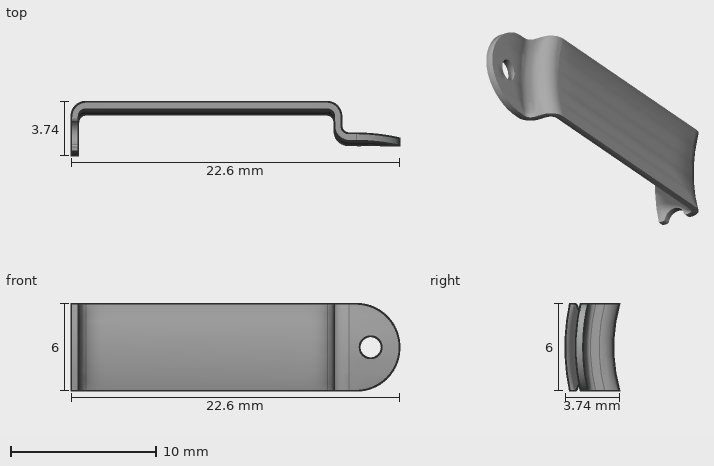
import cadquery as cq
import math

length = 22.6
width = 6.0
thickness = 0.5
dish_radius = 11.0
half_width = width / 2

inner_bend = 0.5
outer_bend = inner_bend + thickness

leg_depth = 3.325
step_depth = 2.1
step_wall_x = 18.6

hole_diameter = 1.5
hole_to_tip = 2.0

notch_radius = 0.8
notch_depth = 0.75
notch_mouth_radius = 0.2
notch_y = -1.72

dish_axis_start = (0, dish_radius, 0)
dish_axis_end = (1, dish_radius, 0)
clearance = 1.0


def folded_profile():
    """Side profile at mid-width: leg, main strip, step wall and tab."""
    main_back = -thickness
    tab_front = -step_depth
    tab_back = tab_front - thickness
    wall_back_x = step_wall_x - thickness
    return (
        cq.Workplane("XY")
        .moveTo(0, -leg_depth)
        .lineTo(0, -outer_bend)
        .tangentArcPoint((outer_bend, 0), relative=False)
        .lineTo(step_wall_x - outer_bend, 0)
        .tangentArcPoint((step_wall_x, -outer_bend), relative=False)
        .lineTo(step_wall_x, tab_front + inner_bend)
        .tangentArcPoint((step_wall_x + inner_bend, tab_front), relative=False)
        .lineTo(length, tab_front)
        .lineTo(length, tab_back)
        .lineTo(wall_back_x + outer_bend, tab_back)
        .tangentArcPoint((wall_back_x, tab_back + outer_bend), relative=False)
        .lineTo(wall_back_x, main_back - inner_bend)
        .tangentArcPoint((wall_back_x - inner_bend, main_back), relative=False)
        .lineTo(thickness + inner_bend, main_back)
        .tangentArcPoint((thickness, main_back - inner_bend), relative=False)
        .lineTo(thickness, -leg_depth)
        .close()
    )


def dished_strip():
    """Revolve the profile about the dish axis, a little past both side edges."""
    edge_angle = math.degrees(math.asin((half_width + clearance) / dish_radius))
    sector = folded_profile().revolve(2 * edge_angle, dish_axis_start, dish_axis_end)
    return sector.rotate(dish_axis_start, dish_axis_end, -edge_angle)


def outline_block():
    """Outline seen along Y: straight side edges and a full-round tab end."""
    front_y = dish_radius
    back_y = -leg_depth - clearance
    round_x = length - half_width
    return (
        cq.Workplane("XZ", origin=(0, front_y, 0))
        .moveTo(0, -half_width)
        .lineTo(round_x, -half_width)
        .threePointArc((length, 0), (round_x, half_width))
        .lineTo(0, half_width)
        .close()
        .extrude(front_y - back_y)
    )


def tab_hole():
    """Through hole in the tab, along Y."""
    return (
        cq.Workplane("XZ", origin=(length - hole_to_tip, 0, 0))
        .circle(hole_diameter / 2)
        .extrude(leg_depth + clearance)
    )


def cut_leg_notches(strip):
    """Cut a round notch into both side edges of the leg and round the notch mouths."""
    centre_z = half_width + notch_radius - notch_depth
    for side in (1, -1):
        notch = (
            cq.Workplane("YZ")
            .center(notch_y, side * centre_z)
            .circle(notch_radius)
            .extrude(thickness)
        )
        strip = strip.cut(notch)

    mouth_zone = cq.selectors.BoxSelector(
        (0, notch_y - notch_radius, -half_width - notch_radius),
        (thickness, notch_y + notch_radius, half_width + notch_radius),
    )
    mouth_edges = strip.edges("|X").edges(mouth_zone)
    return mouth_edges.fillet(notch_mouth_radius)


result = cut_leg_notches(dished_strip().intersect(outline_block()).cut(tab_hole()))